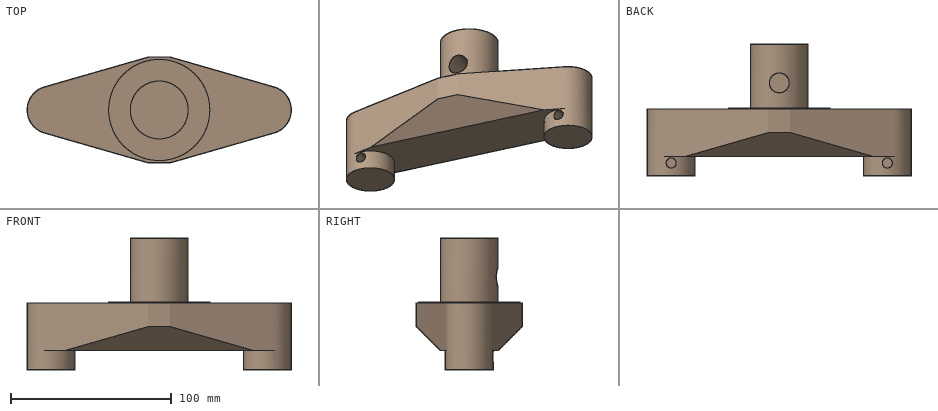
import cadquery as cq
import math

length = 164.5
width = 66.0
total_height = 82.0
leg_diameter = 30.0
leg_drop = 12.0
body_height = 29.8
flat_length = 13.5
post_diameter = 36.0
pad_diameter = 63.0
pad_height = 0.5
post_hole_diameter = 12.3
post_hole_below_top = 24.2
leg_hole_diameter = 6.2
leg_hole_height = 8.0

leg_radius = leg_diameter / 2
leg_x = length / 2 - leg_radius
half_width = width / 2
half_flat = flat_length / 2
body_top = leg_drop + body_height
bevel = half_width - post_diameter / 2


def tangent_point():
    """Point where the sloping side meets the +X end arc tangentially, on the +Y side."""
    run = leg_x - half_flat
    distance = math.hypot(run, half_width)
    slope = math.atan2(half_width, run) - math.asin(leg_radius / distance)
    return leg_x + leg_radius * math.sin(slope), leg_radius * math.cos(slope)


def arm_body():
    """Tapered arm with bevelled lower edges; the legs round off its ends."""
    end_x, end_y = tangent_point()
    corners = [
        (half_flat, half_width),
        (end_x, end_y),
        (end_x, -end_y),
        (half_flat, -half_width),
        (-half_flat, -half_width),
        (-end_x, -end_y),
        (-end_x, end_y),
        (-half_flat, half_width),
    ]
    outline = (
        cq.Workplane("XY", origin=(0, 0, leg_drop))
        .polyline(corners)
        .close()
        .extrude(body_height)
    )
    half_bottom = half_width - bevel
    section = (
        cq.Workplane("YZ", origin=(-length / 2, 0, 0))
        .polyline([
            (-half_bottom, leg_drop),
            (half_bottom, leg_drop),
            (half_width, leg_drop + bevel),
            (half_width, body_top),
            (-half_width, body_top),
            (-half_width, leg_drop + bevel),
        ])
        .close()
        .extrude(length)
    )
    return outline.intersect(section)


def upright(x, diameter, bottom, top):
    """Vertical cylinder on the centre line Y = 0."""
    return cq.Workplane("XY", origin=(x, 0, bottom)).circle(diameter / 2).extrude(top - bottom)


def back_hole(x, z, diameter):
    """Blind hole bored from the +Y side to the centre line Y = 0."""
    return cq.Workplane("XZ", origin=(x, 0, z)).circle(diameter / 2).extrude(-half_width)


result = arm_body()
result = result.union(upright(0, pad_diameter, body_top, body_top + pad_height))
result = result.union(upright(0, post_diameter, body_top, total_height))
result = result.cut(back_hole(0, total_height - post_hole_below_top, post_hole_diameter))

for x in (-leg_x, leg_x):
    leg = upright(x, leg_diameter, 0, body_top)
    leg = leg.cut(back_hole(x, leg_hole_height, leg_hole_diameter))
    result = result.union(leg)